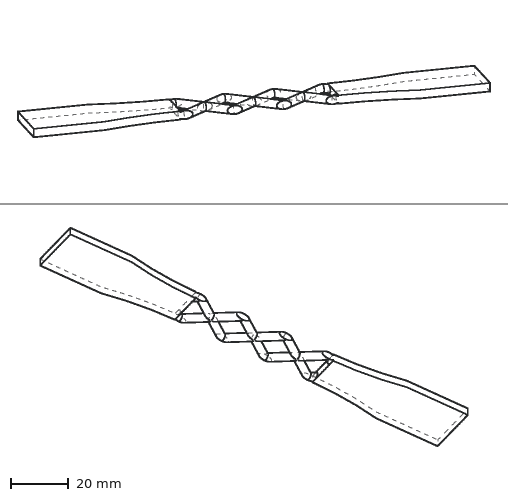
import cadquery as cq
import math

length = 165.0
grip_width = 19.0
gauge_width = 13.0
thickness = 3.1
gauge_length = 57.1
grip_start = 57.1

lattice_pitch = 17.8
node_offset = gauge_width / 2
strut_radius = thickness / 2
grip_overlap = 0.8
crossings = 5


def make_grip():
    """Grip at the +Y end, with sides curving tangentially into the gauge width."""
    inner_y = gauge_length / 2
    outer_y = length / 2
    run = grip_start - inner_y
    rise = (grip_width - gauge_width) / 2
    shoulder_radius = (run**2 + rise**2) / (2 * rise)
    half_angle = math.atan2(rise, run)
    shoulder_mid = (
        gauge_width / 2 + shoulder_radius * (1 - math.cos(half_angle)),
        inner_y + shoulder_radius * math.sin(half_angle),
    )
    right_half = (
        cq.Workplane("XY")
        .workplane(offset=-thickness / 2)
        .moveTo(0, inner_y)
        .lineTo(gauge_width / 2, inner_y)
        .threePointArc(shoulder_mid, (grip_width / 2, grip_start))
        .lineTo(grip_width / 2, outer_y)
        .lineTo(0, outer_y)
        .close()
        .extrude(thickness)
    )
    return right_half.union(right_half.mirror("YZ")).clean()


def make_strut(centre_y, slope_sign):
    """Round bar through the centreline, from one side bend to the other."""
    run = lattice_pitch / 2
    bar_length = 2 * math.hypot(node_offset, run)
    overhang = 2 * strut_radius
    angle = math.degrees(math.atan2(node_offset, run))
    return (
        cq.Workplane("XZ")
        .circle(strut_radius)
        .extrude((bar_length + overhang) / 2, both=True)
        .rotate((0, 0, 0), (0, 0, 1), slope_sign * angle)
        .translate((0, centre_y, 0))
    )


def make_lattice():
    """Crossed struts trimmed flush with the gauge sides."""
    envelope_length = gauge_length + 2 * grip_overlap
    envelope = cq.Workplane("XY").box(gauge_width, envelope_length, 2 * thickness)
    lattice = cq.Workplane("XY")
    for index in range(crossings):
        centre_y = (index - (crossings - 1) / 2) * lattice_pitch
        for slope_sign in (-1, 1):
            lattice = lattice.union(make_strut(centre_y, slope_sign))
    return lattice.intersect(envelope)


grip = make_grip()
result = grip.union(grip.mirror("XZ")).union(make_lattice())